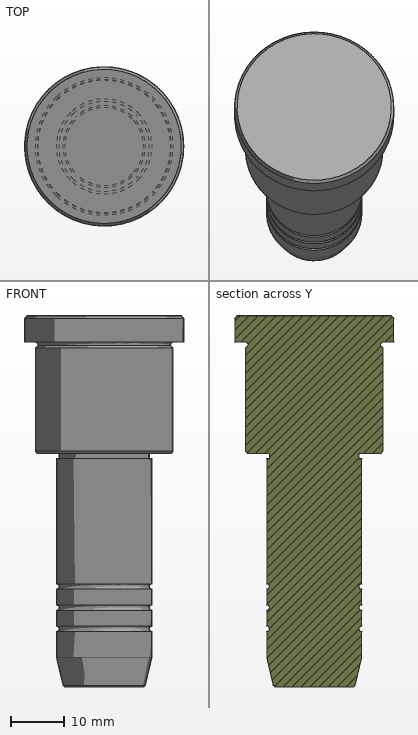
import cadquery as cq
import math

total_height = 70.0
flange_radius = 30.0 / 2
flange_height = 5.0
flange_chamfer = 0.5
body_radius = 26.0 / 2
body_bottom = 44.0
body_chamfer_height = 0.5
body_chamfer_inset = 0.35
pin_radius = 18.0 / 2

flange_relief_depth = 0.5
flange_relief_height = 1.1
flange_relief_fillet = flange_relief_height - flange_relief_depth

pin_relief_depth = 0.5
pin_relief_height = 1.0

groove_count = 3
groove_pitch = 4.0
lowest_groove_z = 11.0
groove_radius = 0.5

taper_height = 5.6
taper_inset = 1.25
tip_chamfer_height = 0.3
tip_chamfer_inset = 0.35


def revolved(outline):
    """Revolve a closed (radius, height) outline about the Z axis."""
    return outline.close().revolve(360, (0, 0), (0, 1))


def stepped_blank():
    """Headed pin with both reliefs and the tapered tip, before grooving."""
    flange_bottom = total_height - flange_height
    relief_bottom = flange_bottom - flange_relief_height
    neck_radius = body_radius - flange_relief_depth
    pin_neck_radius = pin_radius - pin_relief_depth
    pin_top = body_bottom - pin_relief_height
    tip_radius = pin_radius - taper_inset
    fillet_rise = flange_relief_fillet * math.sqrt(0.5)
    fillet_center = (neck_radius + flange_relief_fillet, flange_bottom - flange_relief_fillet)
    fillet_middle = (fillet_center[0] - fillet_rise, fillet_center[1] + fillet_rise)
    outline = (
        cq.Workplane("XZ")
        .moveTo(0, 0)
        .lineTo(tip_radius - tip_chamfer_inset, 0)
        .lineTo(tip_radius, tip_chamfer_height)
        .lineTo(pin_radius, taper_height)
        .lineTo(pin_radius, pin_top)
        .lineTo(pin_neck_radius, pin_top)
        .lineTo(pin_neck_radius, body_bottom)
        .lineTo(body_radius - body_chamfer_inset, body_bottom)
        .lineTo(body_radius, body_bottom + body_chamfer_height)
        .lineTo(body_radius, relief_bottom)
        .lineTo(neck_radius, fillet_center[1])
        .threePointArc(fillet_middle, (fillet_center[0], flange_bottom))
        .lineTo(flange_radius, flange_bottom)
        .lineTo(flange_radius, total_height - flange_chamfer)
        .lineTo(flange_radius - flange_chamfer, total_height)
        .lineTo(0, total_height)
    )
    return revolved(outline)


def groove_cutter(center_z):
    """Ring of round section centered on the pin surface."""
    section = cq.Workplane("XZ").center(pin_radius, center_z).circle(groove_radius)
    return section.revolve(360, (-pin_radius, 0), (-pin_radius, 1))


result = stepped_blank()
for index in range(groove_count):
    result = result.cut(groove_cutter(lowest_groove_z + index * groove_pitch))